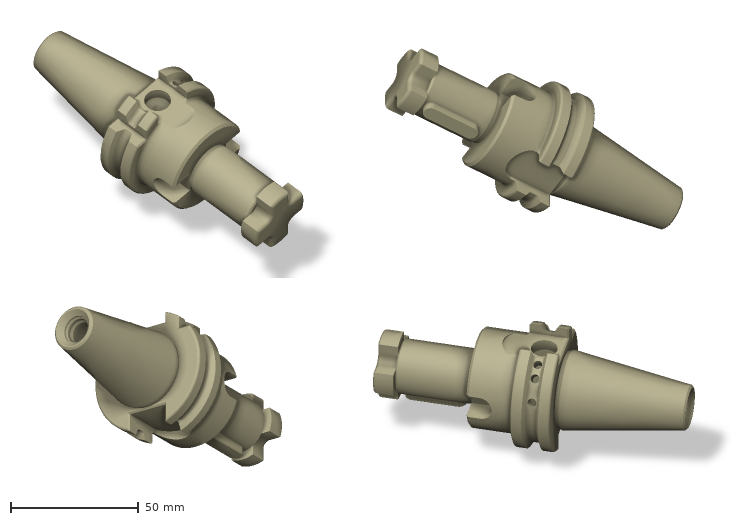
import cadquery as cq
import math

total_length = 124.8
gauge_x = 48.0
flange_front_x = 50.9
flange_back_x = 66.8
collar_end_x = 85.7
arbor_end_x = 116.6

taper_end_radius = 16.0
taper_ratio = 7 / 24
taper_start_radius = taper_end_radius - gauge_x * taper_ratio / 2
taper_edge = 0.7
land_length = 1.1
relief_radius = 15.5
relief_run = 0.6

flange_radius = 25.02
flange_fillet = 1.0
cutout_chamfer = 0.6
groove_x = 58.8
groove_width = 6.7
groove_radius = 22.15
groove_flank_angle = 30
groove_fillet = 1.0
groove_flank_run = (flange_radius - groove_radius) * math.tan(math.radians(groove_flank_angle))

collar_radius = 20.1
collar_fillet = 1.0
collar_chamfer = 1.0
neck_radius = 10.6
neck_length = 1.0
neck_run = 1.0
arbor_radius = 11.0
arbor_chamfer = 0.6

slot_width = 16.8
slot_end_x = 75.4
slot_end_radius = 9.0
upper_slot_z = 19.0
lower_slot_z = -16.2

notch_y = -14.9
notch_z = 14.9

chip_hole_radius = 5.2
chip_hole_depth = 5.0
chip_hole_fillet = 0.5
drill_tip_radius = 2.0
drill_tip_angle = 118

radial_hole_angles = (20, 45, 60)
radial_hole_diameter = 3.5
radial_hole_depth = 5.0

key_slot_width = 10.2
key_slot_length = 10.5
key_slot_floor = 10.4

rim_radius = 7.7
mouth_radius = 7.0
mouth_edge_x = 0.7
recess_radius = 5.6
recess_end_x = 3.0
thread_radius = 5.0
thread_end_x = 5.2
core_radius = 4.2
core_end_x = 25.0
bore_floor_radius = 3.6

key_start_x = 90.1
key_end_x = 114.7
key_width = 6.0
key_bottom_z = -14.1
key_top_z = -8.1
key_chamfer = 0.2

head_radius = 14.0
head_arm_width = 10.1
head_corner_offset = 7.92
head_fillet = 1.5


def revolve_about_x(points):
    """Solid of revolution about X from (x, radius) points."""
    return cq.Workplane("XY").polyline(points).close().revolve(360, (0, 0, 0), (1, 0, 0))


def make_shank():
    """Taper, relief, flange blank, collar and arbor as one turned blank."""
    land_end_x = gauge_x + land_length
    neck_end_x = collar_end_x + neck_length
    return revolve_about_x([
        (0, 0),
        (0, taper_start_radius - taper_edge),
        (taper_edge, taper_start_radius + taper_edge * taper_ratio / 2),
        (gauge_x, taper_end_radius),
        (land_end_x, taper_end_radius),
        (land_end_x + relief_run, relief_radius),
        (flange_front_x, relief_radius),
        (flange_front_x, flange_radius),
        (flange_back_x, flange_radius),
        (flange_back_x, collar_radius),
        (collar_end_x - collar_chamfer, collar_radius),
        (collar_end_x, collar_radius - collar_chamfer),
        (collar_end_x, neck_radius),
        (neck_end_x, neck_radius),
        (neck_end_x + neck_run, arbor_radius),
        (arbor_end_x - arbor_chamfer, arbor_radius),
        (arbor_end_x, arbor_radius - arbor_chamfer),
        (arbor_end_x, 0),
    ])


def circle_edges(x, radius):
    """Selector for the edges that lie inside the circle of a radius at one X."""
    margin = 0.1
    reach = radius + margin
    return cq.selectors.BoxSelector(
        (x - margin, -reach, -reach), (x + margin, reach, reach), boundingbox=True
    )


def round_flange(body):
    """Fillet the collar root, then both outer rims of the flange."""
    body = body.edges(circle_edges(flange_back_x, collar_radius)).fillet(collar_fillet)
    root_radius = collar_radius + collar_fillet
    for rim_x in (flange_front_x, flange_back_x):
        rims = circle_edges(rim_x, flange_radius) - circle_edges(rim_x, root_radius)
        body = body.edges(rims).fillet(flange_fillet)
    return body


def make_groove_cutter():
    """Ring of V-shaped section with a filleted floor."""
    half_top = groove_width / 2
    half_floor = half_top - groove_flank_run
    section = (
        cq.Sketch()
        .polygon([
            (groove_x - half_top, flange_radius),
            (groove_x - half_floor, groove_radius),
            (groove_x + half_floor, groove_radius),
            (groove_x + half_top, flange_radius),
            (groove_x - half_top, flange_radius),
        ])
        .vertices("<Y")
        .fillet(groove_fillet)
    )
    return cq.Workplane("XY").placeSketch(section).revolve(360, (0, 0, 0), (1, 0, 0))


def make_slot_cutter(floor_z):
    """Slot open at the flange front, with a round end, from floor_z outward."""
    half_width = slot_width / 2
    end_sag = slot_end_radius - math.sqrt(slot_end_radius**2 - half_width**2)
    direction = math.copysign(1, floor_z)
    return (
        cq.Workplane("XY")
        .workplane(offset=floor_z)
        .moveTo(flange_front_x, -half_width)
        .lineTo(slot_end_x - end_sag, -half_width)
        .threePointArc((slot_end_x, 0), (slot_end_x - end_sag, half_width))
        .lineTo(flange_front_x, half_width)
        .close()
        .extrude(direction * flange_radius)
    )


def make_mouth_chamfer(face_x, inward, center_y, width, floor_z):
    """Tapered plug that chamfers the rim of a cutout where it meets a flange face.

    inward is +1 or -1, the X direction from the face into the flange.
    """
    height = flange_radius
    center_z = floor_z + math.copysign(height / 2, floor_z)
    return (
        cq.Workplane("YZ", origin=(face_x, center_y, center_z))
        .rect(width + 2 * cutout_chamfer, height + 2 * cutout_chamfer)
        .extrude(inward * cutout_chamfer, taper=45)
    )


def cut_drive_slot(body, floor_z):
    """Cut one drive slot and chamfer its rim on the flange front face."""
    body = body.cut(make_slot_cutter(floor_z))
    return body.cut(make_mouth_chamfer(flange_front_x, 1, 0, slot_width, floor_z))


def cut_notch(body):
    """Cut the corner notch through the flange and chamfer it on both faces."""
    width = flange_radius
    center_y = notch_y - width / 2
    notch = cq.Workplane("XY").box(
        flange_back_x - flange_front_x, width, flange_radius, centered=(False, True, False)
    )
    body = body.cut(notch.translate((flange_front_x, center_y, notch_z)))
    for face_x, inward in ((flange_front_x, 1), (flange_back_x, -1)):
        body = body.cut(make_mouth_chamfer(face_x, inward, center_y, width, notch_z))
    return body


def make_chip_hole_cutter():
    floor_z = upper_slot_z - chip_hole_depth
    pocket = (
        cq.Workplane("XY", origin=(groove_x, 0, floor_z))
        .circle(chip_hole_radius)
        .extrude(chip_hole_depth)
        .faces("<Z")
        .edges()
        .fillet(chip_hole_fillet)
    )
    tip_depth = drill_tip_radius / math.tan(math.radians(drill_tip_angle / 2))
    tip = cq.Solid.makeCone(
        drill_tip_radius, 0, tip_depth, cq.Vector(groove_x, 0, floor_z), cq.Vector(0, 0, -1)
    )
    return pocket.union(cq.Workplane(tip))


def make_radial_hole_cutter(angle):
    """Blind hole aimed at the axis, starting above the groove floor."""
    hole = cq.Workplane("XZ", origin=(groove_x, flange_radius, 0)).circle(radial_hole_diameter / 2)
    hole = hole.extrude(flange_radius - groove_radius + radial_hole_depth)
    return hole.rotate((0, 0, 0), (1, 0, 0), angle)


def make_key_slot_cutter(side):
    """Slot with a round end in the collar; side is +1 for +Y and -1 for -Y."""
    radius = key_slot_width / 2
    start_x = collar_end_x - key_slot_length
    return (
        cq.Workplane("XZ", origin=(0, side * key_slot_floor, 0))
        .moveTo(collar_end_x, -radius)
        .lineTo(start_x + radius, -radius)
        .threePointArc((start_x, 0), (start_x + radius, radius))
        .lineTo(collar_end_x, radius)
        .close()
        .extrude(-side * collar_radius)
    )


def make_bore_cutter():
    return revolve_about_x([
        (0, 0),
        (0, rim_radius),
        (mouth_edge_x, mouth_radius),
        (mouth_edge_x + mouth_radius - recess_radius, recess_radius),
        (recess_end_x, recess_radius),
        (recess_end_x + recess_radius - thread_radius, thread_radius),
        (thread_end_x, thread_radius),
        (thread_end_x + thread_radius - core_radius, core_radius),
        (core_end_x, core_radius),
        (core_end_x + core_radius - bore_floor_radius, bore_floor_radius),
        (core_end_x + core_radius - bore_floor_radius, 0),
    ])


def make_key():
    """Round-ended key lying along X."""
    length = key_end_x - key_start_x
    return (
        cq.Workplane("XY", origin=((key_start_x + key_end_x) / 2, 0, key_bottom_z))
        .slot2D(length, key_width)
        .extrude(key_top_z - key_bottom_z)
        .faces("<Z")
        .chamfer(key_chamfer)
    )


def make_screw_head():
    """Cross-shaped head: a disc with four round corner recesses and a rounded end."""
    length = total_length - arbor_end_x
    head = cq.Workplane("YZ", origin=(arbor_end_x, 0, 0)).circle(head_radius).extrude(length)
    half_arm = head_arm_width / 2
    corner_radius = head_corner_offset - half_arm
    bend = head_corner_offset - corner_radius * math.sqrt(0.5)
    recess = (
        cq.Workplane("YZ", origin=(arbor_end_x, 0, 0))
        .moveTo(half_arm, head_radius)
        .lineTo(half_arm, head_corner_offset)
        .threePointArc((bend, bend), (head_corner_offset, half_arm))
        .lineTo(head_radius, half_arm)
        .lineTo(head_radius, head_radius)
        .close()
        .extrude(length)
    )
    for quarter in range(4):
        head = head.cut(recess.rotate((0, 0, 0), (1, 0, 0), 90 * quarter))
    return head.faces(">X").edges().fillet(head_fillet)


def make_holder(key):
    """Tool holder with a keyway that fits the key."""
    body = round_flange(make_shank())
    for floor_z in (upper_slot_z, lower_slot_z):
        body = cut_drive_slot(body, floor_z)
    body = cut_notch(body)
    body = body.cut(make_groove_cutter())
    body = body.cut(make_chip_hole_cutter())
    for angle in radial_hole_angles:
        body = body.cut(make_radial_hole_cutter(angle))
    for side in (1, -1):
        body = body.cut(make_key_slot_cutter(side))
    body = body.cut(make_bore_cutter())
    return body.cut(key)


key = make_key()
screw_head = make_screw_head()
holder = make_holder(key)

result = cq.Compound.makeCompound([holder.val(), key.val(), screw_head.val()])